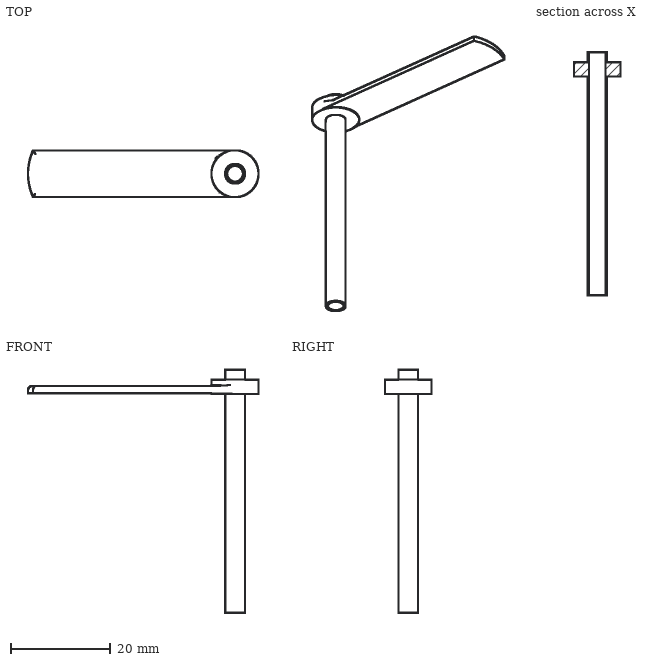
import cadquery as cq
import math

pin_length = 49.0
pin_diameter = 4.0
bore_diameter = 3.2
pin_above_hub = 2.0

hub_radius = 4.75
hub_height = 2.95
hub_top = pin_length - pin_above_hub
hub_bottom = hub_top - hub_height

overall_length = 46.45
arm_width = 9.4
arm_thickness = 1.5
arm_lift = 0.15
tip_bulge = 1.05
edge_round = 0.95
root_round = 0.2
runout_x = -3.3
runout_radius = 4.05
arm_bottom = hub_bottom + arm_lift
arm_top = arm_bottom + arm_thickness
tip_x = hub_radius - overall_length
tip_corner_x = tip_x + tip_bulge
half_width = arm_width / 2


def plate_at(z):
    return cq.Workplane("XY").workplane(offset=z)


def make_hub():
    disc = plate_at(hub_bottom).circle(hub_radius).extrude(hub_height)
    flats = plate_at(hub_bottom).rect(2 * hub_radius, arm_width).extrude(hub_height)
    return disc.intersect(flats)


def make_blade():
    """Long part of the arm, rounded along its sides and curved tip."""
    blade = (
        plate_at(arm_bottom)
        .moveTo(runout_x, -half_width)
        .lineTo(tip_corner_x, -half_width)
        .threePointArc((tip_x, 0), (tip_corner_x, half_width))
        .lineTo(runout_x, half_width)
        .close()
        .extrude(arm_thickness)
    )
    return blade.faces(">Z").edges("not >X").fillet(edge_round)


def make_root_ring():
    """Concave ring filling the corner between the hub wall and the arm top."""
    ring_radius = hub_radius + root_round
    ring_top = arm_top + root_round
    ring = plate_at(arm_top).circle(ring_radius).extrude(root_round)
    hollow = (
        cq.Workplane("XZ")
        .center(ring_radius, ring_top)
        .circle(root_round)
        .revolve(360, (-ring_radius, 0), (-ring_radius, 1))
    )
    return ring.cut(hollow)


def make_runout_cutter():
    """Side rounding of the arm, carried on along an upward curve at the +Y side."""
    round_bottom = arm_top - edge_round
    round_inner_y = half_width - edge_round
    cutter_top = arm_top + root_round
    diagonal = edge_round * math.sqrt(0.5)
    turn_angle = 50
    return (
        cq.Workplane("YZ", origin=(runout_x, 0, 0))
        .moveTo(half_width, round_bottom)
        .threePointArc((round_inner_y + diagonal, round_bottom + diagonal), (round_inner_y, arm_top))
        .lineTo(round_inner_y, cutter_top)
        .lineTo(half_width, cutter_top)
        .close()
        .revolve(turn_angle, (0.5, round_bottom + runout_radius), (0, round_bottom + runout_radius))
    )


def make_arm_root():
    """Short part of the arm joining the blade to the hub."""
    block = plate_at(arm_bottom).rect(-2 * runout_x, arm_width).extrude(arm_thickness)
    reach = hub_radius + root_round
    envelope = plate_at(arm_bottom).center(-reach / 2, 0).rect(reach, arm_width).extrude(hub_height)
    root = block.union(make_root_ring()).intersect(envelope)
    cutter = make_runout_cutter()
    return root.cut(cutter).cut(cutter.mirror("XZ"))


lever = make_blade().union(make_arm_root()).union(make_hub())
pin = cq.Workplane("XY").circle(pin_diameter / 2).extrude(pin_length)
bore = cq.Workplane("XY").circle(bore_diameter / 2).extrude(pin_length)
result = lever.union(pin).cut(bore)